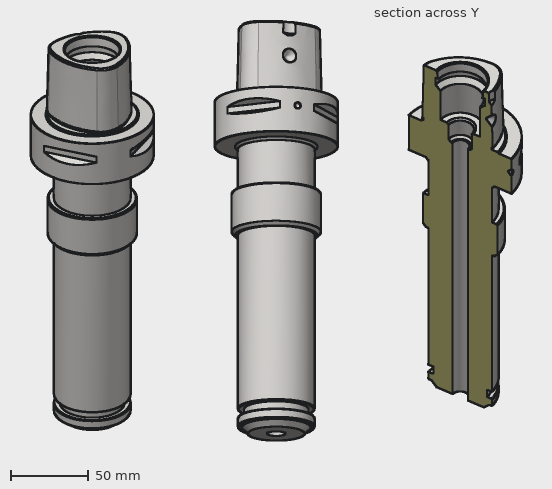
import cadquery as cq
import math

TOTAL_LENGTH = 270.0
FLANGE_TOP = 222.0
FLANGE_BOTTOM = 192.0
COLLAR_TOP = 161.0
COLLAR_BOTTOM = 132.5
GROOVE_TOP = 16.2
GROOVE_BOTTOM = 10.5

FLANGE_DIAMETER = 80.0
COLLAR_DIAMETER = 58.0
BODY_DIAMETER = 50.0
GROOVE_DIAMETER = 42.0
NOSE_DIAMETER = 36.7

FLANGE_CHAMFER = 0.3
NECK_FLARE_DIAMETER = 53.5
NECK_FLARE_HEIGHT = 2.0
COLLAR_TOP_CHAMFER = 0.8
COLLAR_BOTTOM_WIDTH = 2.5
COLLAR_BOTTOM_HEIGHT = 2.5
GROOVE_EDGE_CHAMFER = 0.5
NOSE_HEIGHT = 4.0
NOSE_RIM_CHAMFER = 0.8

RING_BASE_DIAMETER = 60.5
RING_TOP_DIAMETER = 58.3
RING_HEIGHT = 0.8

SHANK_MEAN_RADIUS = 27.5
SHANK_ECCENTRICITY = 2.2
LOBE_RADIUS = 14.3
SHANK_BASE = 224.5
SHANK_TAPER = math.degrees(math.atan(1 / 40))
SHANK_UNDERCUT = 0.8
SHANK_TOP_CHAMFER = 1.0

MOUTH_DIAMETER = 37.3
ENTRY_DIAMETER = 35.6
LIP_DIAMETER = 34.0
MOUTH_CHAMFER_DEPTH = 0.8
CLAMP_GROOVE_DIAMETER = 38.0
CLAMP_GROOVE_START = 7.0
CLAMP_GROOVE_END = 12.5
SEAT_DIAMETER = 30.5
SEAT_DEPTH = 16.0
BORE_DEPTH = 40.5
THREAD_CHAMFER_DIAMETER = 20.5
THREAD_DIAMETER = 17.8
THREAD_DEPTH = 54.0
THREAD_END_DIAMETER = 14.0
COOLANT_DIAMETER = 12.0

DRILL_LENGTH = 13.5
NOTCH_DIAMETER = 12.0
NOTCH_DEPTH = 7.5
NOTCH_AXIS_RADIUS = 28.4
SHANK_MARK_DIAMETER = 9.2
SHANK_MARK_HEIGHT = 247.0
SHANK_MARK_RADIUS = 24.5
FLANGE_MARK_DIAMETER = 4.0
FLANGE_MARK_RADIUS = 39.2
FLANGE_AXIS_HEIGHT = 210.0

SLOT_COUNT = 4
SLOT_FLOOR_RADIUS = 35.5
SLOT_FLOOR_HEIGHT = 4.3
SLOT_FLANK_ANGLE = 30.0


def revolve_profile(points):
    """Revolve a closed (radius, height) outline about the Z axis."""
    return cq.Workplane("XZ").polyline(points).close().revolve(360, (0, 0), (0, 1))


def turned_body():
    flange_r = FLANGE_DIAMETER / 2
    collar_r = COLLAR_DIAMETER / 2
    body_r = BODY_DIAMETER / 2
    groove_r = GROOVE_DIAMETER / 2
    edge = GROOVE_EDGE_CHAMFER
    return revolve_profile([
        (0, 0),
        (NOSE_DIAMETER / 2, 0),
        (NOSE_DIAMETER / 2 + NOSE_HEIGHT, NOSE_HEIGHT),
        (body_r - NOSE_RIM_CHAMFER, NOSE_HEIGHT),
        (body_r, NOSE_HEIGHT + NOSE_RIM_CHAMFER),
        (body_r, GROOVE_BOTTOM - edge),
        (body_r - edge, GROOVE_BOTTOM),
        (groove_r, GROOVE_BOTTOM),
        (groove_r, GROOVE_TOP),
        (body_r - edge, GROOVE_TOP),
        (body_r, GROOVE_TOP + edge),
        (body_r, COLLAR_BOTTOM),
        (collar_r - COLLAR_BOTTOM_WIDTH, COLLAR_BOTTOM),
        (collar_r, COLLAR_BOTTOM + COLLAR_BOTTOM_HEIGHT),
        (collar_r, COLLAR_TOP - COLLAR_TOP_CHAMFER),
        (collar_r - COLLAR_TOP_CHAMFER, COLLAR_TOP),
        (body_r, COLLAR_TOP),
        (body_r, FLANGE_BOTTOM - NECK_FLARE_HEIGHT),
        (NECK_FLARE_DIAMETER / 2, FLANGE_BOTTOM),
        (flange_r - FLANGE_CHAMFER, FLANGE_BOTTOM),
        (flange_r, FLANGE_BOTTOM + FLANGE_CHAMFER),
        (flange_r, FLANGE_TOP - FLANGE_CHAMFER),
        (flange_r - FLANGE_CHAMFER, FLANGE_TOP),
        (RING_BASE_DIAMETER / 2, FLANGE_TOP),
        (RING_TOP_DIAMETER / 2, FLANGE_TOP + RING_HEIGHT),
        (0, FLANGE_TOP + RING_HEIGHT),
    ])


def lobed_outline(height, inset):
    """Three lobe arcs joined tangentially by three wide flank arcs, one lobe pointing to +X."""
    lobe_reach = SHANK_MEAN_RADIUS + SHANK_ECCENTRICITY - inset
    flank_reach = SHANK_MEAN_RADIUS - SHANK_ECCENTRICITY - inset
    lobe_radius = LOBE_RADIUS - inset
    lobe_center = lobe_reach - lobe_radius
    gap = flank_reach - lobe_radius
    flank_center = (lobe_center**2 - gap**2) / (2 * gap - lobe_center)
    rise = lobe_center * math.sin(math.radians(60))
    run = flank_center + lobe_center * math.cos(math.radians(60))
    half_angle = 60 - math.degrees(math.atan2(rise, run))

    def polar(radius, angle, center=0.0, axis=0.0):
        return (
            center * math.cos(math.radians(axis)) + radius * math.cos(math.radians(angle)),
            center * math.sin(math.radians(axis)) + radius * math.sin(math.radians(angle)),
        )

    def lobe_point(axis, side):
        return polar(lobe_radius, axis + side * half_angle, lobe_center, axis)

    outline = cq.Workplane("XY").workplane(offset=height).moveTo(*lobe_point(0, -1))
    for axis in (0, 120, 240):
        outline = outline.threePointArc(polar(lobe_reach, axis), lobe_point(axis, 1))
        outline = outline.threePointArc(polar(flank_reach, axis + 60), lobe_point(axis + 120, -1))
    return outline.close()


def shank():
    neck = lobed_outline(FLANGE_TOP, SHANK_UNDERCUT).extrude(SHANK_BASE - FLANGE_TOP)
    cone = lobed_outline(SHANK_BASE, 0).extrude(TOTAL_LENGTH - SHANK_BASE, taper=SHANK_TAPER)
    return neck.union(cone.faces(">Z").chamfer(SHANK_TOP_CHAMFER))


def stepped_bore():
    def below_end(diameter, depth):
        return (diameter / 2, TOTAL_LENGTH - depth)

    thread_chamfer = (THREAD_CHAMFER_DIAMETER - THREAD_DIAMETER) / 2
    thread_end_cone = (THREAD_DIAMETER - THREAD_END_DIAMETER) / 2
    return revolve_profile([
        below_end(0, 0),
        below_end(MOUTH_DIAMETER, 0),
        below_end(ENTRY_DIAMETER, MOUTH_CHAMFER_DEPTH),
        below_end(LIP_DIAMETER, CLAMP_GROOVE_START),
        below_end(CLAMP_GROOVE_DIAMETER, CLAMP_GROOVE_START),
        below_end(CLAMP_GROOVE_DIAMETER, CLAMP_GROOVE_END),
        below_end(SEAT_DIAMETER, SEAT_DEPTH),
        below_end(SEAT_DIAMETER, BORE_DEPTH),
        below_end(THREAD_CHAMFER_DIAMETER, BORE_DEPTH),
        below_end(THREAD_DIAMETER, BORE_DEPTH + thread_chamfer),
        below_end(THREAD_DIAMETER, THREAD_DEPTH),
        below_end(THREAD_END_DIAMETER, THREAD_DEPTH + thread_end_cone),
        below_end(COOLANT_DIAMETER, THREAD_DEPTH + thread_end_cone),
        below_end(COOLANT_DIAMETER, TOTAL_LENGTH),
        below_end(0, TOTAL_LENGTH),
    ])


def pointed_drill(diameter):
    """Upright drill with a 90 degree point; its full diameter starts at the XY plane."""
    radius = diameter / 2
    return revolve_profile([(0, -radius), (radius, 0), (radius, DRILL_LENGTH), (0, DRILL_LENGTH)])


def end_notch():
    """Vertical drilling at the shank end that breaks out of the -X flank."""
    return pointed_drill(NOTCH_DIAMETER).translate((-NOTCH_AXIS_RADIUS, 0, TOTAL_LENGTH - NOTCH_DEPTH))


def side_mark(diameter, shoulder_radius, height):
    """Horizontal drilling from the -X side, full diameter outside the shoulder radius."""
    drill = pointed_drill(diameter).rotate((0, 0, 0), (0, 1, 0), -90)
    return drill.translate((-shoulder_radius, 0, height))


def gripper_slot(angle):
    """Straight slot with a flat floor and sloped flanks, cut across the flange rim."""
    rim = FLANGE_DIAMETER / 2
    floor_half = SLOT_FLOOR_HEIGHT / 2
    mouth_half = floor_half + (rim - SLOT_FLOOR_RADIUS) * math.tan(math.radians(SLOT_FLANK_ANGLE))
    slot = (
        cq.Workplane("XZ")
        .polyline([
            (SLOT_FLOOR_RADIUS, FLANGE_AXIS_HEIGHT - floor_half),
            (rim, FLANGE_AXIS_HEIGHT - mouth_half),
            (rim, FLANGE_AXIS_HEIGHT + mouth_half),
            (SLOT_FLOOR_RADIUS, FLANGE_AXIS_HEIGHT + floor_half),
        ])
        .close()
        .extrude(rim, both=True)
    )
    return slot.rotate((0, 0, 0), (0, 0, 1), angle)


result = turned_body().union(shank()).cut(stepped_bore()).cut(end_notch())
result = result.cut(side_mark(SHANK_MARK_DIAMETER, SHANK_MARK_RADIUS, SHANK_MARK_HEIGHT))
result = result.cut(side_mark(FLANGE_MARK_DIAMETER, FLANGE_MARK_RADIUS, FLANGE_AXIS_HEIGHT))
for slot_index in range(SLOT_COUNT):
    result = result.cut(gripper_slot((slot_index + 0.5) * 360 / SLOT_COUNT))